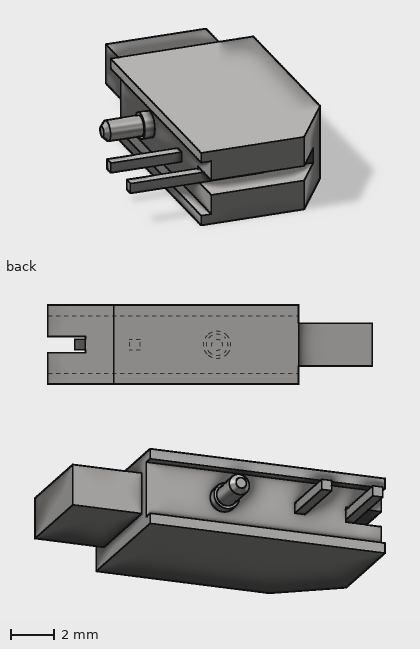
import cadquery as cq

total_length = 15.11
total_depth = 10.15
height = 3.69

emitter_length = 3.43
emitter_depth = 5.0
emitter_height = 2.0
emitter_back_inset = 1.03

pin_projection = 3.04
housing_length = total_length - emitter_length
housing_depth = total_depth - pin_projection
bevel_length = 3.07
bevel_depth = 1.98
rail_size = 0.5

pin_width = 0.5
pin_pitch = 2.54
outer_pin_x = 13.6
pin_positions = (outer_pin_x - pin_pitch, outer_pin_x)

slot_start = outer_pin_x - pin_width / 2
slot_height = 0.74

peg_x = 7.24
peg_diameter = 1.0
peg_projection = 1.9
peg_bevel = 0.24
collar_diameter = 1.27

emitter_center_y = housing_depth - emitter_back_inset - emitter_depth / 2


def box(x_start, x_size, y_start, y_size, z_size):
    """Box placed by its low X and Y sides and centred on Z = 0."""
    return (
        cq.Workplane("XY")
        .box(x_size, y_size, z_size, centered=(False, False, True))
        .translate((x_start, y_start, 0))
    )


def make_housing():
    outline = [
        (emitter_length, 0),
        (total_length, 0),
        (total_length, housing_depth - bevel_depth),
        (total_length - bevel_length, housing_depth),
        (emitter_length, housing_depth),
    ]
    body = cq.Workplane("XY").polyline(outline).close().extrude(height / 2, both=True)
    channel = box(emitter_length, housing_length, 0, rail_size, height - 2 * rail_size)
    slot = box(slot_start, total_length - slot_start, 0, housing_depth, slot_height)
    return body.cut(channel).cut(slot)


def make_emitter():
    emitter_y = emitter_center_y - emitter_depth / 2
    return box(0, emitter_length, emitter_y, emitter_depth, emitter_height)


def make_pin(x):
    """Pin reaching back to the middle of the emitter; the outer one lies on the slot wall."""
    return box(x - pin_width / 2, pin_width, -pin_projection, pin_projection + emitter_center_y, pin_width)


def make_peg():
    base = cq.Workplane("XZ", origin=(peg_x, rail_size, 0))
    collar = base.circle(collar_diameter / 2).extrude(rail_size)
    shaft = base.circle(peg_diameter / 2).extrude(rail_size + peg_projection)
    return collar.union(shaft.faces("<Y").chamfer(peg_bevel))


result = make_housing().union(make_emitter()).union(make_peg())
for pin_x in pin_positions:
    result = result.union(make_pin(pin_x))